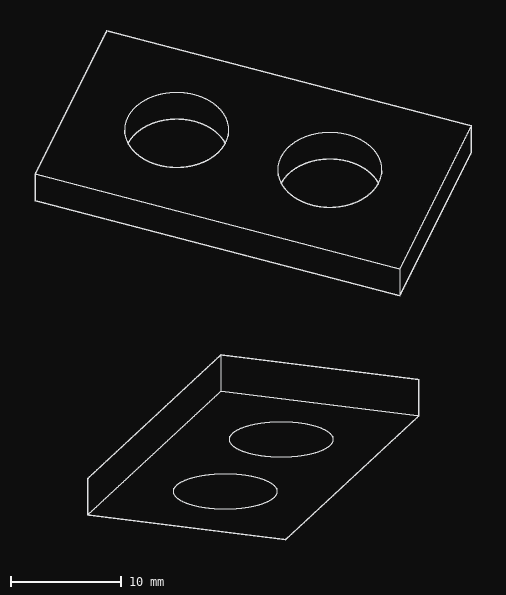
import cadquery as cq

length = 35.05
width = 19.05
thickness = 3.5

hole_diameter = 9.4
hole_spacing = 14.72

plate = cq.Workplane("XY").box(length, width, thickness)

result = (
    plate.faces(">Z")
    .workplane()
    .rarray(hole_spacing, width, 2, 1)
    .hole(hole_diameter)
)